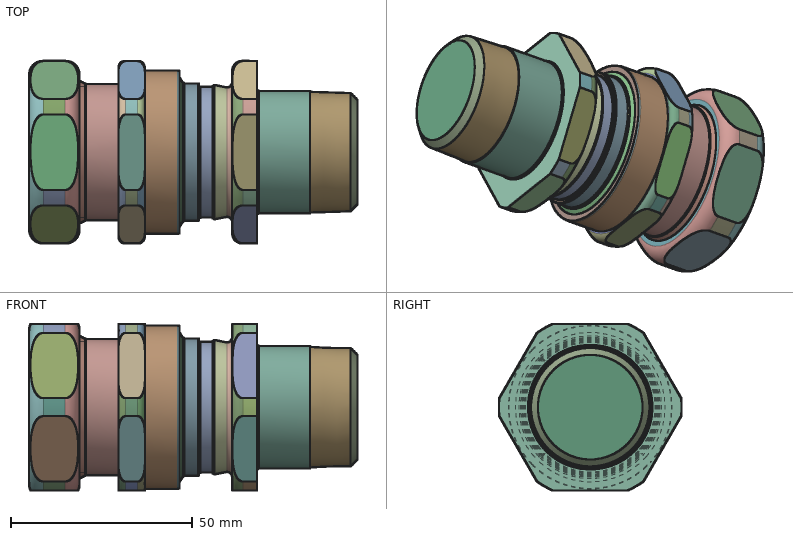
import cadquery as cq
import math

overall_length = 90.7

hex_across_flats = 46.0
hex_across_corners = hex_across_flats / math.cos(math.pi / 6)
crown_dia = 50.5

cap_end = 14.0
cap_rounding = 4.0

front_seal_end = 15.4
front_seal_big_dia = 39.4
front_seal_small_dia = 38.0
seal_bore_dia = 36.2

neck_dia = 37.7
neck_chamfer_length = 0.3
body_hex_start = 24.65
body_hex_end = 32.0
body_hex_rounding = 2.0
barrel_dia = 45.2
barrel_end = 41.6
barrel_edge_length = 0.6
barrel_edge_drop = 0.15

rear_seal_end = 42.4
rear_seal_big_dia = 41.27
rear_seal_small_dia = 38.6

collar_dia = 38.0
collar_lead_end = 42.9
collar_end = 46.9
collar_edge_length = 0.3
collar_edge_drop = 0.1
spigot_shoulder_dia = 36.28
spigot_shoulder_end = 47.4
spigot_dia = 36.2
spigot_end = 50.6

nose_rim_end = 50.9
nose_rim_dia = 36.6
nose_peak = 51.15
nose_peak_dia = 37.2
nose_waist = 54.65
nose_waist_dia = 35.8
entry_hex_start = 56.05
entry_hex_end = 62.95
entry_hex_rounding = 3.0
nose_fillet = entry_hex_start - nose_waist
thread_relief_length = 0.5
thread_relief_dia = 34.4
thread_dia = 33.9
thread_taper_start = 77.6
thread_taper_dia = 33.4
thread_chamfer = 1.9
thread_taper = 1 / 16
thread_chamfer_start = overall_length - thread_chamfer
thread_end_dia = thread_taper_dia - thread_taper * (thread_chamfer_start - thread_taper_start)


def turned(rings):
    """Solid of revolution about X through (position, diameter) rings."""
    outline = cq.Workplane("XY").moveTo(rings[0][0], 0)
    for position, diameter in rings:
        outline = outline.lineTo(position, diameter / 2)
    outline = outline.lineTo(rings[-1][0], 0).close()
    return outline.revolve(360, (0, 0, 0), (1, 0, 0))


def crowned_hexagon(start, end, front_rounding, back_rounding):
    """Hexagonal prism whose corners are cut by a cylinder with rounded rims."""
    length = end - start
    plane = cq.Workplane("YZ", origin=(start, 0, 0))
    crown = plane.circle(crown_dia / 2).extrude(length)
    crown = crown.faces("<X").edges().fillet(front_rounding)
    if back_rounding:
        crown = crown.faces(">X").edges().fillet(back_rounding)
    return plane.polygon(6, hex_across_corners).extrude(length).intersect(crown)


def tapered_seal(start, end, big_dia, small_dia):
    """Ring that narrows towards +X, with a plain bore."""
    bore = turned([(start, seal_bore_dia), (end, seal_bore_dia)])
    return turned([(start, big_dia), (end, small_dia)]).cut(bore)


def make_cap_nut():
    return crowned_hexagon(0, cap_end, cap_rounding, cap_rounding)


def make_main_body():
    neck = turned([
        (cap_end, seal_bore_dia),
        (front_seal_end, seal_bore_dia),
        (front_seal_end, front_seal_small_dia),
        (front_seal_end + neck_chamfer_length, neck_dia),
        (body_hex_start, neck_dia),
    ])
    hexagon = crowned_hexagon(body_hex_start, body_hex_end, body_hex_rounding, body_hex_rounding)
    barrel = turned([
        (body_hex_end, barrel_dia),
        (barrel_end - barrel_edge_length, barrel_dia),
        (barrel_end, barrel_dia - 2 * barrel_edge_drop),
    ])
    return neck.union(hexagon).union(barrel)


def make_sleeve():
    return turned([
        (barrel_end, seal_bore_dia),
        (rear_seal_end, seal_bore_dia),
        (rear_seal_end, rear_seal_small_dia),
        (collar_lead_end, collar_dia),
        (collar_end - collar_edge_length, collar_dia),
        (collar_end, collar_dia - 2 * collar_edge_drop),
        (collar_end, spigot_shoulder_dia),
        (spigot_shoulder_end, spigot_shoulder_dia),
        (spigot_shoulder_end, spigot_dia),
        (spigot_end, spigot_dia),
    ])


def make_nose():
    """Rim and peak, then a cone to a waist that flares into the hexagon."""
    waist_radius = nose_waist_dia / 2
    flare_radius = waist_radius + nose_fillet
    fillet_middle = (
        nose_waist + nose_fillet * math.sin(math.pi / 4),
        flare_radius - nose_fillet * math.cos(math.pi / 4),
    )
    outline = (
        cq.Workplane("XY")
        .moveTo(spigot_end, 0)
        .lineTo(spigot_end, nose_rim_dia / 2)
        .lineTo(nose_rim_end, nose_rim_dia / 2)
        .lineTo(nose_peak, nose_peak_dia / 2)
        .lineTo(nose_waist, waist_radius)
        .threePointArc(fillet_middle, (entry_hex_start, flare_radius))
        .lineTo(entry_hex_start, 0)
        .close()
    )
    return outline.revolve(360, (0, 0, 0), (1, 0, 0))


def make_entry():
    hexagon = crowned_hexagon(entry_hex_start, entry_hex_end, entry_hex_rounding, 0)
    thread = turned([
        (entry_hex_end, thread_relief_dia),
        (entry_hex_end + thread_relief_length, thread_dia),
        (thread_taper_start, thread_dia),
        (thread_taper_start, thread_taper_dia),
        (thread_chamfer_start, thread_end_dia),
        (overall_length, thread_end_dia - 2 * thread_chamfer),
    ])
    return make_nose().union(hexagon).union(thread)


cap_nut = make_cap_nut()
front_seal = tapered_seal(cap_end, front_seal_end, front_seal_big_dia, front_seal_small_dia)
main_body = make_main_body()
rear_seal = tapered_seal(barrel_end, rear_seal_end, rear_seal_big_dia, rear_seal_small_dia)
sleeve = make_sleeve()
entry = make_entry()

result = cq.Compound.makeCompound([
    cap_nut.val(),
    front_seal.val(),
    main_body.val(),
    rear_seal.val(),
    sleeve.val(),
    entry.val(),
])